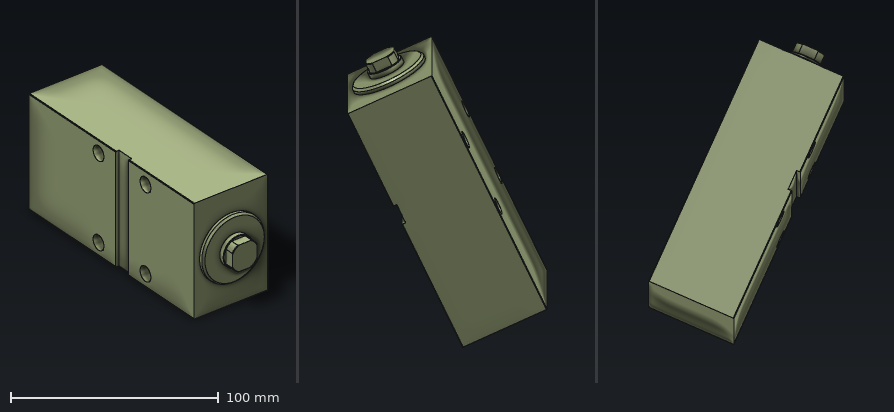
import cadquery as cq

total_length = 141.0
housing_length = 130.0
housing_width = 45.0
housing_height = 65.0
housing_edge_chamfer = 0.35

slot_start = 68.5
slot_width = 10.0
slot_depth = 2.0

hole_diameter = 8.5
hole_first_x = 55.0
hole_spacing_x = 37.0
hole_spacing_z = 50.0

cap_diameter = 38.0
cap_thickness = 3.0
cap_chamfer_length = 1.3
cap_chamfer_depth = 1.0

collar_diameter = 18.0
collar_length = 3.0
rod_chamfer = 0.31
wrench_flats = 15.0
wrench_diameter = 17.0
wrench_length = total_length - housing_length - cap_thickness - collar_length


def disc(start_x, length, diameter):
    """Cylinder on the rod axis, growing toward +X from start_x."""
    return cq.Workplane("YZ", origin=(start_x, 0, 0)).circle(diameter / 2).extrude(length)


def make_housing():
    """Block with chamfered long edges, a key slot and four through holes."""
    block = (
        cq.Workplane("XY")
        .box(housing_length, housing_width, housing_height)
        .translate((housing_length / 2, 0, 0))
        .edges("|X")
        .chamfer(housing_edge_chamfer)
    )
    slot = (
        cq.Workplane("XY")
        .box(slot_width, 2 * slot_depth, housing_height)
        .translate((slot_start + slot_width / 2, -housing_width / 2, 0))
    )
    holes = (
        cq.Workplane("XZ", origin=(hole_first_x + hole_spacing_x / 2, 0, 0))
        .rarray(hole_spacing_x, hole_spacing_z, 2, 2)
        .circle(hole_diameter / 2)
        .extrude(housing_width, both=True)
    )
    return block.cut(slot).cut(holes)


def make_cap():
    """Disc lying on the housing end face, with a shallow chamfer on its outer rim."""
    rim_radius = cap_diameter / 2
    face_radius = rim_radius - cap_chamfer_depth
    half_profile = [
        (0, 0),
        (0, rim_radius),
        (cap_thickness - cap_chamfer_length, rim_radius),
        (cap_thickness, face_radius),
        (cap_thickness, 0),
    ]
    return (
        cq.Workplane("XY", origin=(housing_length, 0, 0))
        .polyline(half_profile)
        .close()
        .revolve(360, (0, 0, 0), (1, 0, 0))
    )


def make_rod():
    """Chamfered collar with a wrench end: a chamfered cylinder cut to four flats."""
    collar_start = housing_length + cap_thickness
    wrench_start = collar_start + collar_length
    collar = disc(collar_start, collar_length, collar_diameter).faces(">X").chamfer(rod_chamfer)
    wrench_round = disc(wrench_start, wrench_length, wrench_diameter).faces(">X").chamfer(rod_chamfer)
    square = (
        cq.Workplane("YZ", origin=(wrench_start, 0, 0))
        .rect(wrench_flats, wrench_flats)
        .extrude(wrench_length)
    )
    return collar.union(wrench_round.intersect(square))


housing = make_housing()
cap = make_cap()
rod = make_rod()

result = cq.Compound.makeCompound([housing.val(), cap.val(), rod.val()])